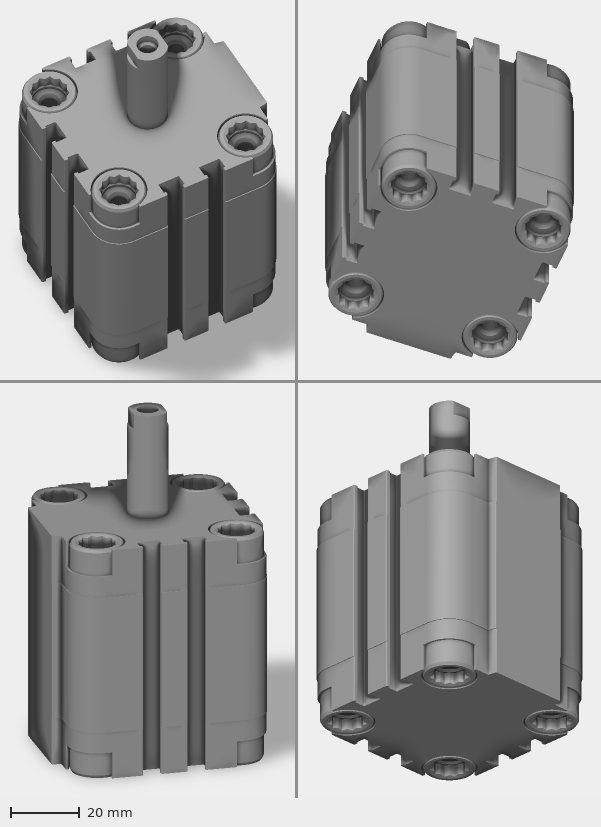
import cadquery as cq
import math


total_height = 102.0
rod_length = 31.6
cap_height = 14.4
housing_height = total_height - rod_length
barrel_height = housing_height - 2 * cap_height

barrel_half_width = 30.0
cap_inset = 0.25
cap_half_width = barrel_half_width - cap_inset
screw_offset = 21.0
platform_reach = 32.5
platform_half_top = 13.5
platform_half_base = 14.0
platform_edge_radius = 0.4

slot_offset = 6.7
slot_mouth_width = 5.5
slot_inner_width = 6.8
slot_floor = 25.0
slot_lip_back = 28.5
slot_lip_radius = 0.3
slot_floor_radius = 0.3
slotted_side_angles = (0, 180, 270)

pocket_depth = 8.0
pocket_diameter = 16.5
pocket_wall_offset = 2.2
head_diameter = 16.0
head_chamfer_height = 0.9
head_chamfer_width = 0.5

socket_entry_diameter = 13.0
socket_chamfer_height = 0.6
socket_width = 10.1
socket_points_depth = 3.9
socket_depth = 4.9
hole_diameter = 4.9
hole_entry_diameter = 6.4
hole_chamfer_height = 1.0

rod_diameter = 12.0
rod_flats_width = 10.0
rod_flats_height = 4.6
rod_bore_diameter = 4.9
rod_bore_depth = 12.2
rod_recess_diameter = 6.4
rod_recess_depth = 2.7
rod_recess_chamfer_height = 0.5
drill_point_angle = 118.0


def cylinder(diameter, bottom_z, height):
    return cq.Workplane().workplane(offset=bottom_z).circle(diameter / 2).extrude(height)


def cone(top_diameter, bottom_diameter, top_z, height):
    base = cq.Vector(0, 0, top_z - height)
    return cq.Workplane(cq.Solid.makeCone(bottom_diameter / 2, top_diameter / 2, height, base))


def slot_cutter(face, height):
    """T-slot with rounded lips, opening toward +X through a wall whose outer face is at x = face."""
    mouth = slot_mouth_width / 2
    inner = slot_inner_width / 2
    lip = slot_lip_radius
    arc_step = lip * (1 - math.sqrt(0.5))
    cutter = (
        cq.Workplane()
        .moveTo(face, mouth + lip)
        .threePointArc((face - arc_step, mouth + arc_step), (face - lip, mouth))
        .lineTo(slot_lip_back, mouth)
        .lineTo(slot_lip_back, inner)
        .lineTo(slot_floor, inner)
        .lineTo(slot_floor, -inner)
        .lineTo(slot_lip_back, -inner)
        .lineTo(slot_lip_back, -mouth)
        .lineTo(face - lip, -mouth)
        .threePointArc((face - arc_step, -mouth - arc_step), (face, -mouth - lip))
        .close()
        .extrude(height)
    )
    return cutter.edges("|Z and <X").fillet(slot_floor_radius)


def platform(half_width, height):
    """Raised strip with sloping flanks on the +Y side."""
    inset = barrel_half_width - half_width
    base = platform_half_base - inset
    top = platform_half_top - inset
    outline = [
        (-base, 0),
        (base, 0),
        (base, half_width),
        (top, platform_reach),
        (-top, platform_reach),
        (-base, half_width),
    ]
    strip = cq.Workplane().polyline(outline).close().extrude(height)
    return strip.edges("|Z and >Y").fillet(platform_edge_radius)


def slotted_block(half_width, height):
    """Rounded square with the platform on +Y and a pair of T-slots in each other side."""
    block = (
        cq.Workplane()
        .rect(2 * half_width, 2 * half_width)
        .extrude(height)
        .edges("|Z")
        .fillet(half_width - screw_offset)
    )
    block = block.union(platform(half_width, height))
    for side_angle in slotted_side_angles:
        for offset in (-slot_offset, slot_offset):
            cutter = slot_cutter(half_width, height).translate((0, offset, 0))
            block = block.cut(cutter.rotate((0, 0, 0), (0, 0, 1), side_angle))
    return block


def pocket_cutter():
    """Pocket around a screw on the Z axis, round toward the rod and open toward +X and +Y."""
    floor_z = cap_height - pocket_depth
    corner = (
        cq.Workplane()
        .workplane(offset=floor_z)
        .rect(cap_half_width, cap_half_width, centered=False)
        .extrude(pocket_depth)
        .translate((-pocket_wall_offset, -pocket_wall_offset, 0))
    )
    return corner.union(cylinder(pocket_diameter, floor_z, pocket_depth))


def screw_head():
    """Chamfered round head standing on the pocket floor, level with the cap face."""
    top_diameter = head_diameter - 2 * head_chamfer_width
    straight_height = pocket_depth - head_chamfer_height
    head = cylinder(head_diameter, cap_height - pocket_depth, straight_height)
    return head.union(cone(top_diameter, head_diameter, cap_height, head_chamfer_height))


def socket_cutter():
    """Twelve-point socket, with a countersunk hole through its floor."""
    points_diameter = socket_width / math.cos(math.radians(30))
    floor_z = cap_height - socket_depth
    cutter = cylinder(socket_width, floor_z, socket_depth)
    for turn in (0, 30):
        hexagon = (
            cq.Workplane()
            .workplane(offset=cap_height - socket_points_depth)
            .polygon(6, points_diameter)
            .extrude(socket_points_depth)
            .rotate((0, 0, 0), (0, 0, 1), turn)
        )
        cutter = cutter.union(hexagon)
    cutter = cutter.union(cone(socket_entry_diameter, socket_width, cap_height, socket_chamfer_height))
    cutter = cutter.union(cone(hole_entry_diameter, hole_diameter, floor_z, hole_chamfer_height))
    return cutter.union(cylinder(hole_diameter, 0, cap_height))


def make_cap():
    """End cap with its outer face up and a screw head in each corner pocket."""
    cap = slotted_block(cap_half_width, cap_height)
    corner_angles = {(1, 1): 0, (-1, 1): 90, (-1, -1): 180, (1, -1): 270}
    for (x_side, y_side), angle in corner_angles.items():
        place = (x_side * screw_offset, y_side * screw_offset, 0)
        cap = cap.cut(pocket_cutter().rotate((0, 0, 0), (0, 0, 1), angle).translate(place))
        cap = cap.union(screw_head().translate(place))
        cap = cap.cut(socket_cutter().translate(place))
    return cap


def make_barrel():
    holes = (
        cq.Workplane()
        .rect(2 * screw_offset, 2 * screw_offset, forConstruction=True)
        .vertices()
        .circle(hole_diameter / 2)
        .extrude(barrel_height)
    )
    return slotted_block(barrel_half_width, barrel_height).cut(holes)


def make_housing():
    cap = make_cap()
    top_cap = cap.translate((0, 0, housing_height - cap_height))
    bottom_cap = cap.mirror("XY").translate((0, 0, cap_height))
    barrel = make_barrel().translate((0, 0, cap_height))
    return barrel.union(top_cap).union(bottom_cap).clean()


def flats_cutter():
    """Two slabs that leave wrench flats facing -Y and +Y at the rod's end."""
    return (
        cq.Workplane()
        .workplane(offset=rod_length - rod_flats_height)
        .rect(rod_diameter, rod_diameter)
        .rect(rod_diameter, rod_flats_width)
        .extrude(rod_flats_height)
    )


def rod_bore_cutter():
    """Blind bore with a wider mouth, a chamfer between them and a drill point."""
    recess_floor_z = rod_length - rod_recess_depth
    bore_floor_z = rod_length - rod_bore_depth
    point_height = rod_bore_diameter / 2 / math.tan(math.radians(drill_point_angle / 2))
    chamfer = cone(rod_recess_diameter, rod_bore_diameter, recess_floor_z, rod_recess_chamfer_height)
    return (
        cylinder(rod_bore_diameter, bore_floor_z, rod_bore_depth)
        .union(cylinder(rod_recess_diameter, recess_floor_z, rod_recess_depth))
        .union(chamfer)
        .union(cone(rod_bore_diameter, 0, bore_floor_z, point_height))
    )


def make_rod():
    rod = cylinder(rod_diameter, 0, rod_length).cut(flats_cutter()).cut(rod_bore_cutter())
    return rod.translate((0, 0, housing_height))


housing = make_housing()
piston_rod = make_rod()
result = cq.Compound.makeCompound([housing.solids().val(), piston_rod.solids().val()])